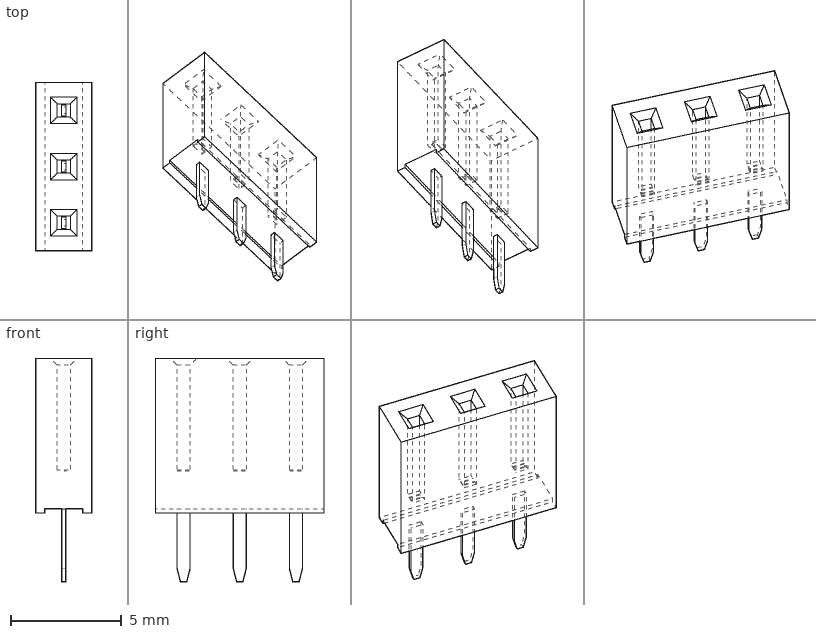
import cadquery as cq

housing_width = 2.54
housing_length = 7.62
housing_height = 7.0
total_height = 10.1

position_count = 3
pitch = housing_length / position_count

channel_width = 1.7
channel_depth = 0.2

lead_in_size = 1.2
bore_size = 0.6
lead_in_depth = (lead_in_size - bore_size) / 2
bore_depth = 5.05

slot_floor_length = 0.5
slot_depth = (bore_size - slot_floor_length) / 2

pin_thickness = 0.2
pin_width = 0.6
tip_width = 0.29
tip_length = 0.6


def make_housing():
    """Block with a shallow channel along its underside."""
    block = cq.Workplane("XY").rect(housing_width, housing_length).extrude(-housing_height)
    channel = (
        cq.Workplane("XY")
        .workplane(offset=-housing_height)
        .rect(channel_width, housing_length)
        .extrude(channel_depth)
    )
    return block.cut(channel)


def extrude_across(outline):
    """Extrude a YZ outline to the pin thickness, centred on X = 0."""
    return cq.Workplane("YZ").polyline(outline).close().extrude(pin_thickness / 2, both=True)


def make_socket():
    """Volume removed for one socket: lead-in, bore and floor slot."""
    lead_in = (
        cq.Workplane("XY")
        .rect(lead_in_size, lead_in_size)
        .workplane(offset=-lead_in_depth)
        .rect(bore_size, bore_size)
        .loft(ruled=True)
    )
    bore = cq.Workplane("XY").rect(bore_size, bore_size).extrude(-bore_depth)
    slot_floor = -bore_depth - slot_depth
    slot = extrude_across([
        (-bore_size / 2, -bore_depth),
        (-slot_floor_length / 2, slot_floor),
        (slot_floor_length / 2, slot_floor),
        (bore_size / 2, -bore_depth),
    ])
    return lead_in.union(bore).union(slot)


def make_pin():
    """Flat pin hanging from the channel roof, narrowing to its tip."""
    root = channel_depth - housing_height
    tip = -total_height
    shoulder = tip + tip_length
    return extrude_across([
        (-tip_width / 2, tip),
        (tip_width / 2, tip),
        (pin_width / 2, shoulder),
        (pin_width / 2, root),
        (-pin_width / 2, root),
        (-pin_width / 2, shoulder),
    ])


socket = make_socket()
pin = make_pin()
result = make_housing()
for index in range(position_count):
    position = (0, (index - (position_count - 1) / 2) * pitch, 0)
    result = result.cut(socket.translate(position))
    result = result.union(pin.translate(position))